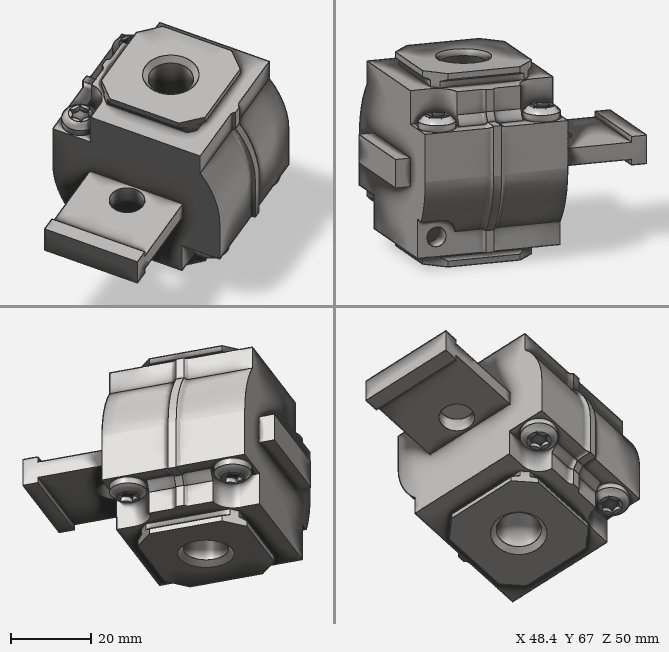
import cadquery as cq
import math


HALF_LENGTH = 19.0
HALF_HEIGHT = 21.05
DRUM_RADIUS = 23.4
SIDE_HALF_WIDTH = 17.9
SHELF_HEIGHT = 12.4
SLOPE_FOOT = 19.55

RIB_HEIGHT = 0.8
RIB_SHELF_HEIGHT = 0.6
RIB_SLOPE_SHARE = 0.5
RIB_FOOT_HALF_WIDTH = 2.35
RIB_CREST_HALF_WIDTH = 1.1
RIB_FLANK_MIDDLE = 0.2

SCREW_X = 18.2
SCREW_Y = 13.95
HEAD_RADIUS = 4.7
HEAD_HEIGHT = 3.2
HEAD_RIM_HEIGHT = 1.75
HEAD_FLAT_RADIUS = 3.0
STAR_TIP_RADIUS = HEAD_FLAT_RADIUS
STAR_WAIST_RADIUS = 2.0
STAR_LOBES = 6
STAR_DEPTH = 1.35
CLEARANCE_RADIUS = 5.4

SIDE_HOLE_Z = -15.95
SIDE_HOLE_RADIUS = 2.55
SIDE_HOLE_DEPTH = 2 * SIDE_HOLE_RADIUS
SPOT_FACE_RADIUS = 4.95

FLANGE_TOP = 25.0
FLANGE_RIM = 1.55
FLANGE_HALF_WIDTH = 14.55
NECK_TOP = 22.7
NECK_HALF_WIDTH = 13.0
FLANGE_CORNER_CUT = 4.9
BORE_RADIUS = 5.6
BORE_CHAMFER = 1.4

SLIDE_WIDTH = 26.0
SLIDE_THICKNESS = 4.4
SLIDE_LENGTH = 67.0
SLIDE_END_LENGTH = 4.0
SLIDE_END_THICKNESS = 7.4
SLIDE_HOLE_RADIUS = 4.4
SLIDE_HOLE_Y = -24.1


def half_turn(shape):
    """Turn a shape to its opposite place, half a turn about the Y axis."""
    return shape.rotate((0, 0, 0), (0, 1, 0), 180)


def box_between(x_range, y_range, z_range):
    """Box that fills the given ranges."""
    sizes = [high - low for low, high in (x_range, y_range, z_range)]
    corner = (x_range[0], y_range[0], z_range[0])
    return cq.Workplane("XY").box(*sizes, centered=False).translate(corner)


def housing_outline(y, growth=0.0, shelf_growth=0.0):
    """Outline of the housing across Y, drawn at the given Y and grown outwards."""
    radius = DRUM_RADIUS + growth
    side = SIDE_HALF_WIDTH + growth
    shelf = SHELF_HEIGHT + shelf_growth
    foot = SLOPE_FOOT + RIB_SLOPE_SHARE * growth
    arc_end = math.sqrt(radius**2 - side**2)
    arc_middle_angle = math.atan2(arc_end, side) / 2
    middle_x = radius * math.cos(arc_middle_angle)
    middle_z = radius * math.sin(arc_middle_angle)
    return (
        cq.Workplane("XZ", origin=(0, y, 0))
        .moveTo(-side, HALF_HEIGHT)
        .lineTo(side, HALF_HEIGHT)
        .lineTo(side, arc_end)
        .threePointArc((middle_x, middle_z), (radius, 0))
        .lineTo(radius, -shelf)
        .lineTo(foot, -shelf)
        .lineTo(side, -arc_end)
        .lineTo(side, -HALF_HEIGHT)
        .lineTo(-side, -HALF_HEIGHT)
        .lineTo(-side, -arc_end)
        .threePointArc((-middle_x, -middle_z), (-radius, 0))
        .lineTo(-radius, shelf)
        .lineTo(-foot, shelf)
        .lineTo(-side, arc_end)
        .close()
    )


def make_rib_flank(side):
    """Hollow flank that rises from the housing to the rib's crest."""
    middle_half_width = (RIB_FOOT_HALF_WIDTH + RIB_CREST_HALF_WIDTH) / 2
    middle_growth = RIB_FLANK_MIDDLE * RIB_HEIGHT
    middle_shelf_growth = RIB_FLANK_MIDDLE * RIB_SHELF_HEIGHT
    foot = housing_outline(side * RIB_FOOT_HALF_WIDTH)
    middle = housing_outline(side * middle_half_width, middle_growth, middle_shelf_growth)
    crest = housing_outline(side * RIB_CREST_HALF_WIDTH, RIB_HEIGHT, RIB_SHELF_HEIGHT)
    return cq.Solid.makeLoft([foot.val(), middle.val(), crest.val()])


def make_rib():
    """Rib that follows the housing outline, with a flat crest and hollow flanks."""
    crest = housing_outline(RIB_CREST_HALF_WIDTH, RIB_HEIGHT, RIB_SHELF_HEIGHT)
    rib = crest.extrude(2 * RIB_CREST_HALF_WIDTH)
    for side in (-1, 1):
        rib = rib.union(make_rib_flank(side))
    return rib


def make_screw_clearance(side):
    """Round-cornered space above the shelf for the screw head at side * SCREW_Y."""
    z_range = (SHELF_HEIGHT, HALF_HEIGHT)
    height = HALF_HEIGHT - SHELF_HEIGHT
    inner_y = SCREW_Y - CLEARANCE_RADIUS
    corner = (
        cq.Workplane("XY", origin=(-SCREW_X, side * SCREW_Y, SHELF_HEIGHT))
        .circle(CLEARANCE_RADIUS)
        .extrude(height)
    )
    end_y = sorted((side * SCREW_Y, side * HALF_LENGTH))
    outer_y = sorted((side * inner_y, side * HALF_LENGTH))
    to_end = box_between((-DRUM_RADIUS, CLEARANCE_RADIUS - SCREW_X), end_y, z_range)
    to_side = box_between((-DRUM_RADIUS, -SCREW_X), outer_y, z_range)
    return corner.union(to_end).union(to_side)


def make_side_hole():
    """Blind hole in the lower -X side and the flat cut into the drum around it."""
    seat = cq.Workplane("YZ", origin=(-SIDE_HALF_WIDTH, SCREW_Y, SIDE_HOLE_Z))
    hole = seat.circle(SIDE_HOLE_RADIUS).extrude(SIDE_HOLE_DEPTH)
    spot_face = seat.circle(SPOT_FACE_RADIUS).extrude(-DRUM_RADIUS)
    to_end = box_between(
        (-DRUM_RADIUS, -SIDE_HALF_WIDTH),
        (SCREW_Y, HALF_LENGTH),
        (SIDE_HOLE_Z, SIDE_HOLE_Z + SPOT_FACE_RADIUS),
    )
    return hole.union(spot_face).union(to_end)


def make_flange():
    """Square flange on a narrower neck, with its four corners cut off."""
    rim_bottom = FLANGE_TOP - FLANGE_RIM
    rim_width = 2 * FLANGE_HALF_WIDTH
    neck_width = 2 * NECK_HALF_WIDTH
    neck = box_between(
        (-NECK_HALF_WIDTH, NECK_HALF_WIDTH),
        (-NECK_HALF_WIDTH, NECK_HALF_WIDTH),
        (HALF_HEIGHT, NECK_TOP),
    )
    underside = (
        cq.Workplane("XY", origin=(0, 0, NECK_TOP))
        .rect(neck_width, neck_width)
        .workplane(offset=rim_bottom - NECK_TOP)
        .rect(rim_width, rim_width)
        .loft(ruled=True)
    )
    rim = (
        cq.Workplane("XY", origin=(0, 0, rim_bottom))
        .rect(rim_width, rim_width)
        .extrude(FLANGE_RIM)
    )
    corner_limit = (
        box_between(
            (-FLANGE_HALF_WIDTH, FLANGE_HALF_WIDTH),
            (-FLANGE_HALF_WIDTH, FLANGE_HALF_WIDTH),
            (HALF_HEIGHT, FLANGE_TOP),
        )
        .edges("|Z")
        .chamfer(FLANGE_CORNER_CUT)
    )
    return neck.union(underside).union(rim).intersect(corner_limit)


def make_bore():
    """Bore through both flanges, chamfered at each mouth."""
    mouth_radius = BORE_RADIUS + BORE_CHAMFER
    half_section = [
        (0, -FLANGE_TOP),
        (mouth_radius, -FLANGE_TOP),
        (BORE_RADIUS, BORE_CHAMFER - FLANGE_TOP),
        (BORE_RADIUS, FLANGE_TOP - BORE_CHAMFER),
        (mouth_radius, FLANGE_TOP),
        (0, FLANGE_TOP),
    ]
    return cq.Workplane("XZ").polyline(half_section).close().revolve(360, (0, 0), (0, 1))


def make_housing():
    """Housing with rib, flanges, screw clearances, bore, side hole and slide slot."""
    body = housing_outline(HALF_LENGTH).extrude(2 * HALF_LENGTH).union(make_rib())
    for side in (-1, 1):
        clearance = make_screw_clearance(side)
        body = body.cut(clearance).cut(half_turn(clearance))
    flange = make_flange()
    body = body.union(flange).union(half_turn(flange))
    slide_slot = cq.Workplane("XY").box(SLIDE_WIDTH, 2 * HALF_LENGTH, SLIDE_THICKNESS)
    return body.cut(make_bore()).cut(make_side_hole()).cut(slide_slot)


def make_slide():
    """Flat slide with a thicker bar at each end; one bar rests on the housing."""
    far_y = HALF_LENGTH + SLIDE_END_LENGTH
    near_y = far_y - SLIDE_LENGTH
    x_range = (-SLIDE_WIDTH / 2, SLIDE_WIDTH / 2)
    plate_z = (-SLIDE_THICKNESS / 2, SLIDE_THICKNESS / 2)
    end_z = (-SLIDE_END_THICKNESS / 2, SLIDE_END_THICKNESS / 2)
    hole = (
        cq.Workplane("XY", origin=(0, SLIDE_HOLE_Y, plate_z[0]))
        .circle(SLIDE_HOLE_RADIUS)
        .extrude(SLIDE_THICKNESS)
    )
    slide = box_between(x_range, (near_y, far_y), plate_z).cut(hole)
    for start_y in (near_y, HALF_LENGTH):
        slide = slide.union(box_between(x_range, (start_y, start_y + SLIDE_END_LENGTH), end_z))
    return slide


def star_point(radius, index):
    """Point of the star, counted in half lobes from the +X direction."""
    angle = index * math.pi / STAR_LOBES
    return (radius * math.cos(angle), radius * math.sin(angle))


def make_screw_head():
    """Domed screw head with a star recess, standing on the XY plane."""
    rim_square = HEAD_RADIUS**2 + HEAD_RIM_HEIGHT**2
    flat_square = HEAD_FLAT_RADIUS**2 + HEAD_HEIGHT**2
    dome_center_z = (flat_square - rim_square) / (2 * (HEAD_HEIGHT - HEAD_RIM_HEIGHT))
    dome_radius = math.hypot(HEAD_RADIUS, HEAD_RIM_HEIGHT - dome_center_z)
    dome = cq.Workplane("XY").sphere(dome_radius).translate((0, 0, dome_center_z))
    head = cq.Workplane("XY").circle(HEAD_RADIUS).extrude(HEAD_HEIGHT).intersect(dome)
    star = cq.Workplane("XY", origin=(0, 0, HEAD_HEIGHT)).moveTo(STAR_TIP_RADIUS, 0)
    for lobe in range(STAR_LOBES):
        waist = star_point(STAR_WAIST_RADIUS, 2 * lobe + 1)
        next_tip = star_point(STAR_TIP_RADIUS, 2 * lobe + 2)
        star = star.threePointArc(waist, next_tip)
    return head.cut(star.close().extrude(-STAR_DEPTH))


def make_screw_heads():
    """Two heads on the upper shelf and two on the lower shelf."""
    heads = []
    for side in (-1, 1):
        upper = make_screw_head().translate((-SCREW_X, side * SCREW_Y, SHELF_HEIGHT))
        heads += [upper.solids().val(), half_turn(upper).solids().val()]
    return heads


housing = make_housing()
slide = make_slide()
screw_heads = make_screw_heads()

result = cq.Compound.makeCompound([housing.solids().val(), slide.solids().val(), *screw_heads])